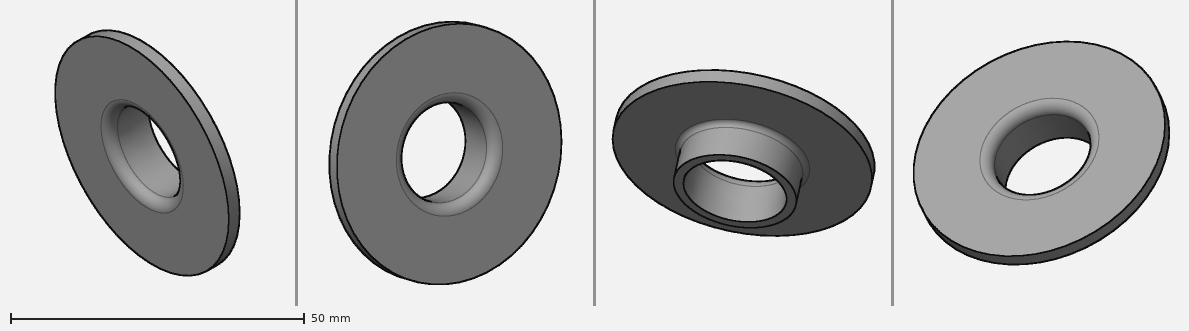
import cadquery as cq

flange_diameter = 45.0
flange_thickness = 2.5
total_length = 9.3
neck_diameter = 21.3
throat_diameter = 17.3
exit_diameter = 17.9
root_fillet = 1.0

flange_radius = flange_diameter / 2
neck_radius = neck_diameter / 2
throat_radius = throat_diameter / 2
exit_radius = exit_diameter / 2

mouth_radius = neck_radius - throat_radius


def make_body():
    """Flange disc with its outer face on Y = 0 and a solid neck toward +Y."""
    flange = cq.Workplane("XZ").circle(flange_radius).extrude(-flange_thickness)
    neck = cq.Workplane("XZ").circle(neck_radius).extrude(-total_length)
    return flange.union(neck)


def round_neck_root(body):
    """Concave fillet where the neck meets the back of the flange."""
    root_edge = cq.selectors.BoxSelector(
        (-neck_diameter, flange_thickness - root_fillet / 2, -neck_diameter),
        (neck_diameter, flange_thickness + root_fillet / 2, neck_diameter),
    )
    return body.edges(root_edge).edges(cq.selectors.RadiusNthSelector(0)).fillet(root_fillet)


def make_bore():
    """Rounded mouth narrowing to the throat, then a slight taper opening to the neck end."""
    half_profile = (
        cq.Workplane("XY")
        .lineTo(neck_radius, 0)
        .radiusArc((throat_radius, mouth_radius), mouth_radius)
        .lineTo(exit_radius, total_length)
        .lineTo(0, total_length)
        .close()
    )
    return half_profile.revolve(360, (0, 0, 0), (0, 1, 0))


result = round_neck_root(make_body()).cut(make_bore())